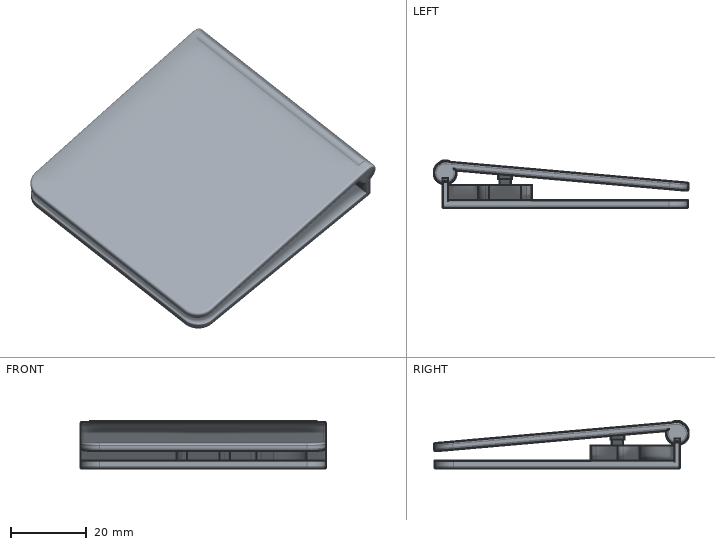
import cadquery as cq

WIDTH = 65.0
CORNER_RADIUS = 5.0

PLATE_THICKNESS = 2.15
PLATE_LENGTH = 65.0
WALL_THICKNESS = 1.5
WALL_TOP = 7.95
BASE_BOTTOM_FILLET = 0.55
BASE_TOP_FILLET = 0.3
AXLE_DIAMETER = 3.8
AXLE_LENGTH = 60.05
AXLE_HEIGHT = 10.8
WALL_PIN_HOLE_DIAMETER = 0.4
WALL_PIN_HOLE_DEPTH = 1.0
WALL_PIN_HOLE_BELOW_TOP = 0.9
WALL_CENTER_Y = -0.1
WALL_BACK = WALL_CENTER_Y + WALL_THICKNESS / 2
WALL_FRONT = WALL_BACK - WALL_THICKNESS
BASE_FRONT = WALL_BACK - PLATE_LENGTH

HINGE_HEIGHT = 9.4
BARREL_DIAMETER = 6.0
BARREL_RADIUS = BARREL_DIAMETER / 2
LID_THICKNESS = 2.15
LID_LENGTH = 64.5
LID_TILT = 5.0
LID_FILLET = 0.6

UNIT_TOP = 6.2
UNIT_HEIGHT = UNIT_TOP - PLATE_THICKNESS
BLOCK_SIDE = 14.25
BLOCK_CENTER_Y = -15.85
BLOCK_FRONT_RADIUS = 1.4
BLOCK_BACK_RADIUS = 1.9
NOTCH_WIDTH = 8.5
NOTCH_DEPTH = 0.55
SHOULDER_RIGHT = 14.1
SHOULDER_RADIUS = 1.4
STRIP_RIGHT = 27.3
STRIP_CORNER_RADIUS = 8.8
STRIP_DEPTH = 9.05
STRIP_FRONT = WALL_FRONT - STRIP_DEPTH
POST_DIAMETER = 7.1
POST_PROTRUSION = 0.2
BUTTON_SIDE = 3.65
BUTTON_BOTTOM = 7.7
BUTTON_TOP = 9.45
STEM_SIDE = 3.05


def box_between(x_range, y_range, z_range):
    """Box given by its lower and upper limit on each axis."""
    corners = list(zip(x_range, y_range, z_range))
    size = [high - low for low, high in zip(*corners)]
    return cq.Workplane("XY").box(*size, centered=False).translate(corners[0])


def full_width_box(y_range, z_range):
    """Box that spans the whole width of the part."""
    return box_between((-WIDTH / 2, WIDTH / 2), y_range, z_range)


def cross_cylinder(diameter, length, y, z):
    """Cylinder along X, centred on X = 0."""
    start = cq.Workplane("YZ", origin=(-length / 2, y, z))
    return start.circle(diameter / 2).extrude(length)


def hinge_wall():
    """Upright wall with the axle on top; the axle and the neck below it stop short of the wall ends."""
    wall = full_width_box((WALL_FRONT, WALL_BACK), (0, WALL_TOP))
    half_length = AXLE_LENGTH / 2
    neck = box_between((-half_length, half_length), (WALL_FRONT, WALL_BACK), (0, AXLE_HEIGHT))
    axle = cross_cylinder(AXLE_DIAMETER, AXLE_LENGTH, WALL_CENTER_Y, AXLE_HEIGHT)
    return wall.union(neck).union(axle)


def make_base():
    """L-shaped base with rounded front corners and softened plate edges."""
    plate = full_width_box((BASE_FRONT, WALL_BACK), (0, PLATE_THICKNESS))
    plate = plate.edges("|Z and <Y").fillet(CORNER_RADIUS)
    plate = plate.faces("<Z").edges().fillet(BASE_BOTTOM_FILLET)
    plate = plate.faces(">Z").edges("not >Y").fillet(BASE_TOP_FILLET)
    wall = hinge_wall().faces("<Z").edges().fillet(BASE_BOTTOM_FILLET)
    return plate.union(wall)


def cut_wall_pin_holes(base):
    """Small blind hole in each end of the wall, just below its top."""
    hole_height = WALL_TOP - WALL_PIN_HOLE_BELOW_TOP
    for side in (-1, 1):
        end = cq.Workplane("YZ", origin=(side * WIDTH / 2, WALL_CENTER_Y, hole_height))
        base = base.cut(end.circle(WALL_PIN_HOLE_DIAMETER / 2).extrude(-side * WALL_PIN_HOLE_DEPTH))
    return base


def make_lid():
    """Tilted lid with grooves that fit the hinge wall and its axle."""
    plate = full_width_box((-LID_LENGTH, 0), (BARREL_RADIUS - LID_THICKNESS, BARREL_RADIUS))
    plate = plate.edges("|Z and <Y").fillet(CORNER_RADIUS)
    plate = plate.faces("<Z or >Z").edges("not >Y").fillet(LID_FILLET)
    barrel = cross_cylinder(BARREL_DIAMETER, WIDTH, 0, 0).edges().fillet(LID_FILLET)
    lid = barrel.union(plate)
    lid = lid.rotate((0, 0, 0), (1, 0, 0), LID_TILT).translate((0, 0, HINGE_HEIGHT))
    return lid.cut(hinge_wall())


def make_switch_block():
    """Square switch block with rounded left and front corners and shallow side notches."""
    half = BLOCK_SIDE / 2
    z_range = (PLATE_THICKNESS, UNIT_TOP)
    back, front = BLOCK_CENTER_Y + half, BLOCK_CENTER_Y - half
    block = box_between((-half, half), (front, back), z_range)
    block = block.edges("|Z and <Y").fillet(BLOCK_FRONT_RADIUS)
    block = block.edges("|Z and >Y and <X").fillet(BLOCK_BACK_RADIUS)
    half_notch = NOTCH_WIDTH / 2
    front_notch = box_between((-half_notch, half_notch), (front, front + NOTCH_DEPTH), z_range)
    left_notch = box_between(
        (-half, -half + NOTCH_DEPTH),
        (BLOCK_CENTER_Y - half_notch, BLOCK_CENTER_Y + half_notch),
        z_range,
    )
    return block.cut(front_notch).cut(left_notch)


def make_strip():
    """Strip along the wall with a wide rounded end, a square shoulder and a round post."""
    z_range = (PLATE_THICKNESS, UNIT_TOP)
    strip = box_between((0, STRIP_RIGHT), (STRIP_FRONT, WALL_FRONT), z_range)
    strip = strip.edges("|Z and <Y and >X").fillet(STRIP_CORNER_RADIUS)
    shoulder = box_between((0, SHOULDER_RIGHT), (BLOCK_CENTER_Y, WALL_FRONT), z_range)
    shoulder = shoulder.edges("|Z and <Y and >X").fillet(SHOULDER_RADIUS)
    post_y = STRIP_FRONT - POST_PROTRUSION + POST_DIAMETER / 2
    post = cq.Workplane("XY", origin=(SHOULDER_RIGHT, post_y, PLATE_THICKNESS))
    post = post.circle(POST_DIAMETER / 2).extrude(UNIT_HEIGHT)
    return strip.union(shoulder).union(post)


def square_column(side, bottom, top):
    """Square upright column on the axis of the switch block."""
    half = side / 2
    return box_between(
        (-half, half),
        (BLOCK_CENTER_Y - half, BLOCK_CENTER_Y + half),
        (bottom, top),
    )


def make_button(lid):
    """Square push button on a thinner stem, its top trimmed to the underside of the lid."""
    stem = square_column(STEM_SIDE, UNIT_TOP, BUTTON_BOTTOM)
    cap = square_column(BUTTON_SIDE, BUTTON_BOTTOM, BUTTON_TOP)
    return stem.union(cap.cut(lid))


def make_switch_unit(lid):
    """Switch block, strip and push button as one solid."""
    return make_switch_block().union(make_strip()).union(make_button(lid))


base = cut_wall_pin_holes(make_base())
lid = make_lid()
switch_unit = make_switch_unit(lid)

result = cq.Compound.makeCompound([base.val(), lid.val(), switch_unit.val()])